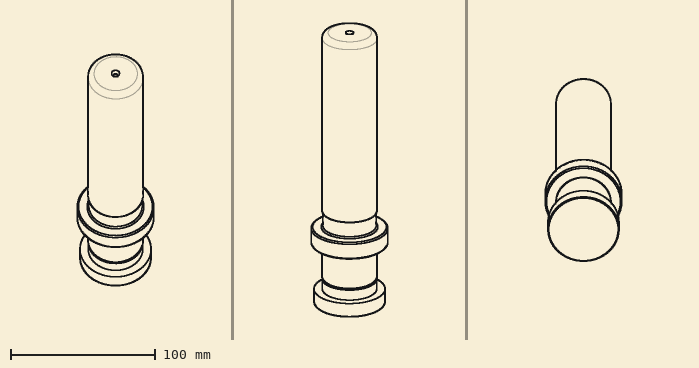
import cadquery as cq

total_height = 205.0

disc_diameter = 49.2
disc_thickness = 10.5
disc_edge_chamfer = 0.6
hub_diameter = 37.7
hub_top = 18.9
hub_chamfer = 0.8

shaft_diameter = 38.1
shaft_rounding = 4.0
end_chamfer = 0.6
collar_diameter = 53.0
collar_bottom = 44.7
collar_thickness = 12.7
collar_chamfer = 1.0
neck_diameter = 37.0
neck_top = 69.7
flare_height = 1.0
flare_diameter = 39.2
relief_height = 1.0
relief_depth = 0.6

centre_mouth_diameter = 5.5
centre_bore_diameter = 2.9
centre_bore_depth = 5.1
centre_cone_angle = 60.0

collar_top = collar_bottom + collar_thickness
shaft_radius = shaft_diameter / 2
neck_radius = neck_diameter / 2
collar_radius = collar_diameter / 2


def make_retaining_disc():
    """Flat disc with a chamfered hub that bears on the lower end of the pillar."""
    disc = cq.Workplane("XY").circle(disc_diameter / 2).extrude(disc_thickness)
    disc = disc.faces("<Z").edges().chamfer(disc_edge_chamfer)
    hub = cq.Workplane("XY").circle(hub_diameter / 2).extrude(hub_top)
    hub = hub.faces(">Z").edges().chamfer(hub_chamfer)
    return disc.union(hub)


def make_pillar_blank():
    """Turned pillar: lower seat, relief, collar, flared neck and long rounded shaft."""
    profile = (
        cq.Workplane("XZ")
        .moveTo(0, hub_top)
        .lineTo(shaft_radius - end_chamfer, hub_top)
        .lineTo(shaft_radius, hub_top + end_chamfer)
        .lineTo(shaft_radius, collar_bottom - relief_height)
        .lineTo(shaft_radius - relief_depth, collar_bottom - relief_height + relief_depth)
        .lineTo(shaft_radius - relief_depth, collar_bottom)
        .lineTo(collar_radius - collar_chamfer, collar_bottom)
        .lineTo(collar_radius, collar_bottom + collar_chamfer)
        .lineTo(collar_radius, collar_top - collar_chamfer)
        .lineTo(collar_radius - collar_chamfer, collar_top)
        .lineTo(flare_diameter / 2, collar_top)
        .lineTo(neck_radius, collar_top + flare_height)
        .lineTo(neck_radius, neck_top - (shaft_radius - neck_radius))
        .lineTo(shaft_radius, neck_top)
        .lineTo(shaft_radius, total_height)
        .lineTo(0, total_height)
        .close()
    )
    blank = profile.revolve(360, (0, 0, 0), (0, 1, 0))
    return blank.faces(">Z").edges().fillet(shaft_rounding)


def make_guide_pillar():
    """Pillar with a countersunk centre hole in its top face."""
    return (
        make_pillar_blank()
        .faces(">Z")
        .workplane(origin=(0, 0, total_height))
        .cskHole(centre_bore_diameter, centre_mouth_diameter, centre_cone_angle, depth=centre_bore_depth)
    )


retaining_disc = make_retaining_disc()
guide_pillar = make_guide_pillar()

result = cq.Compound.makeCompound([retaining_disc.val(), guide_pillar.val()])